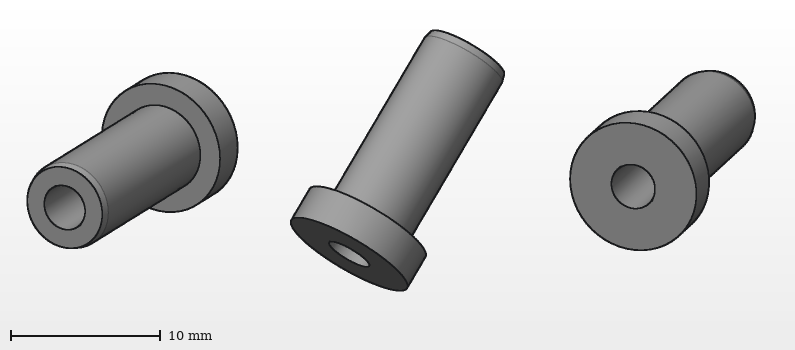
import cadquery as cq
import math

total_length = 16.0
head_diameter = 9.0
head_thickness = 2.5
shank_diameter = 6.0
bore_diameter = 3.1

taper_length = 0.55
taper_angle = 15.0
tip_diameter = shank_diameter - 2 * taper_length * math.tan(math.radians(taper_angle))

tip_y = 0.0
taper_end_y = tip_y + taper_length
head_end_y = tip_y + total_length
head_underside_y = head_end_y - head_thickness

half_section = (
    cq.Workplane("XY")
    .moveTo(bore_diameter / 2, tip_y)
    .lineTo(tip_diameter / 2, tip_y)
    .lineTo(shank_diameter / 2, taper_end_y)
    .lineTo(shank_diameter / 2, head_underside_y)
    .lineTo(head_diameter / 2, head_underside_y)
    .lineTo(head_diameter / 2, head_end_y)
    .lineTo(bore_diameter / 2, head_end_y)
    .close()
)
result = half_section.revolve(360, (0, 0, 0), (0, 1, 0))